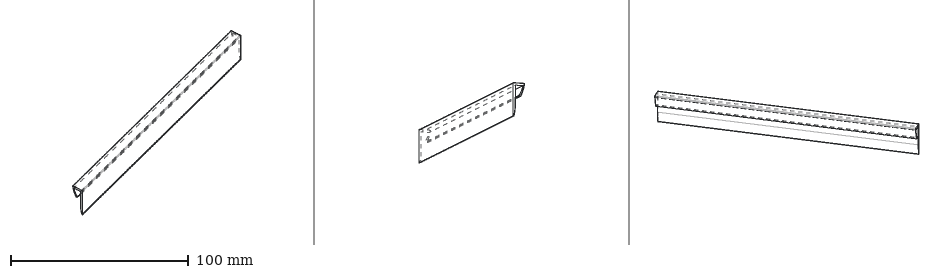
import cadquery as cq

length = 152.4
width = 6.9
height = 19.0

wall = 1.4
leg_tip_thickness = 0.5

taper_height = 6.4

lip_bottom = -7.5
lip_outer_tip_x = 2.3
lip_inner_tip_x = 3.2
lip_tip_rise = 0.5
lip_root_x = 0.9
lip_outer_bulge_x = 0.84
lip_outer_bulge_z = -4.0
lip_inner_bulge_x = 1.8
lip_inner_bulge_z = -4.3

edge_radius = 0.5

leg_inner_x = width - wall
taper_start_z = taper_height - height

profile = (
    cq.Workplane("XZ")
    .moveTo(edge_radius, 0)
    .lineTo(width - edge_radius, 0)
    .radiusArc((width, -edge_radius), edge_radius)
    .lineTo(width, -height)
    .lineTo(width - leg_tip_thickness, -height)
)

taper_depth = wall - leg_tip_thickness
taper_radius = (taper_height**2 + taper_depth**2) / (2 * taper_depth)
profile = (
    profile
    .radiusArc((leg_inner_x, taper_start_z), taper_radius)
    .lineTo(leg_inner_x, -wall)
    .lineTo(lip_root_x, -wall)
    .threePointArc(
        (lip_inner_bulge_x, lip_inner_bulge_z),
        (lip_inner_tip_x, lip_bottom + lip_tip_rise),
    )
    .lineTo(lip_inner_tip_x, lip_bottom)
    .lineTo(lip_outer_tip_x, lip_bottom)
    .threePointArc((lip_outer_bulge_x, lip_outer_bulge_z), (0, -edge_radius))
    .radiusArc((edge_radius, 0), edge_radius)
    .close()
)

result = profile.extrude(length / 2, both=True)